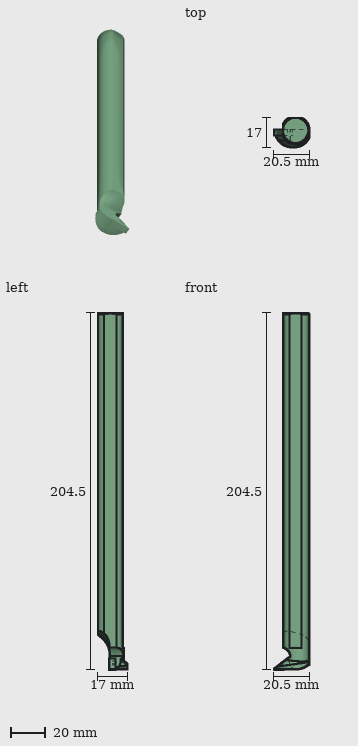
import cadquery as cq
import math

length = 204.5
overall_width = 20.5
shank_radius = 8.0
flat_distance = 7.2
flat_end_z = 12.7
end_chamfer = 0.6
shank_bottom_z = 3.0
margin = 10.2

head_x = -1.6
head_y = 0.8
head_radius = 10.6
head_rim_z = 3.3
head_cone_height = 3.3
head_cone_angle = 45.0
head_tilt = 8.0

bottom_z = 0.6
bottom_flat_end_x = -1.6
bottom_mid_x = 4.5
bottom_mid_z = 1.2
bottom_right_z = 3.7

rake_y = 0.5
clearance_radius = 10.2
clearance_z = 11.5
clearance_tilt = 15.0

tip_x = shank_radius - overall_width
tip_z = 0.6
neck_x = -3.0
neck_z = 8.0
neck_arc_mid_x = -4.0
neck_arc_mid_z = 10.8
neck_top_z = 12.9

insert_y = 0.6
insert_thickness = 3.7
insert_overhang = 0.2
insert_height = 6.7
insert_nose_x = -11.9
insert_heel_x = -1.6
insert_heel_z = 0.5

flank_slope = (neck_z - tip_z) / (neck_x - tip_x)


def flank_x(z):
    """X of the inclined flank at height z."""
    return tip_x + (z - tip_z) / flank_slope


def make_shank():
    """Round bar with -X, -Y and +Y flats and a chamfered rear end."""
    bar = (
        cq.Workplane("XY").workplane(offset=shank_bottom_z)
        .circle(shank_radius).extrude(length - shank_bottom_z)
        .faces(">Z").chamfer(end_chamfer)
    )
    flat_envelope = (
        cq.Workplane("XY").workplane(offset=flat_end_z)
        .center((shank_radius + margin - flat_distance) / 2, 0)
        .rect(shank_radius + margin + flat_distance, 2 * flat_distance)
        .extrude(length)
    )
    round_envelope = cq.Workplane("XY").circle(shank_radius + margin).extrude(flat_end_z)
    return bar.intersect(flat_envelope.union(round_envelope))


def make_head():
    """Tilted disc with a conical top, trimmed by the curved bottom and the +X side."""
    top_radius = head_radius - head_cone_height / math.tan(math.radians(head_cone_angle))
    disc = (
        cq.Workplane("XZ")
        .moveTo(0, -margin).lineTo(head_radius, -margin).lineTo(head_radius, 0)
        .lineTo(top_radius, head_cone_height).lineTo(0, head_cone_height).close()
        .revolve(360, (0, 0, 0), (0, 1, 0))
        .rotate((0, 0, 0), (0, 1, 0), -head_tilt)
        .translate((head_x, head_y, head_rim_z))
    )
    side_envelope = (
        cq.Workplane("XZ")
        .moveTo(tip_x, tip_z).lineTo(bottom_flat_end_x, bottom_z)
        .threePointArc((bottom_mid_x, bottom_mid_z), (shank_radius, bottom_right_z))
        .lineTo(shank_radius, margin).lineTo(tip_x, margin).close()
        .extrude(2 * head_radius, both=True)
    )
    return disc.intersect(side_envelope)


def make_chip_clearance():
    """Flat rake face that runs out of the shank in a leaning round sweep."""
    far_y = rake_y + 2 * clearance_radius
    return (
        cq.Workplane("YZ")
        .moveTo(rake_y, -length / 2).lineTo(rake_y, 0)
        .threePointArc(
            (rake_y + clearance_radius * (1 - math.sqrt(0.5)), clearance_radius * math.sqrt(0.5)),
            (rake_y + clearance_radius, clearance_radius),
        )
        .lineTo(far_y, clearance_radius).lineTo(far_y, -length / 2).close()
        .extrude(length / 2, both=True)
        .rotate((0, 0, 0), (0, 1, 0), clearance_tilt)
        .translate((0, 0, clearance_z))
    )


def make_neck_notch():
    """Notch on the -X side, bounded by a round neck and the inclined flank."""
    outer_x = tip_x - margin
    return (
        cq.Workplane("XZ")
        .moveTo(outer_x, neck_top_z).lineTo(-flat_distance, neck_top_z)
        .threePointArc((neck_arc_mid_x, neck_arc_mid_z), (neck_x, neck_z))
        .lineTo(neck_x + insert_overhang, neck_z)
        .lineTo(flank_x(-margin) + insert_overhang, -margin).lineTo(outer_x, -margin).close()
        .extrude(2 * head_radius, both=True)
    )


def make_insert():
    """Triangular insert standing slightly proud of the rake face and the flank."""
    return (
        cq.Workplane("XZ", origin=(0, insert_y, 0))
        .moveTo(tip_x, tip_z).lineTo(flank_x(insert_height), insert_height)
        .lineTo(insert_heel_x, insert_heel_z).lineTo(insert_nose_x, 0).close()
        .extrude(insert_thickness)
    )


insert = make_insert()
holder = (
    make_shank().union(make_head())
    .cut(make_chip_clearance())
    .cut(make_neck_notch())
    .cut(insert)
)

result = cq.Compound.makeCompound([holder.val(), insert.val()])